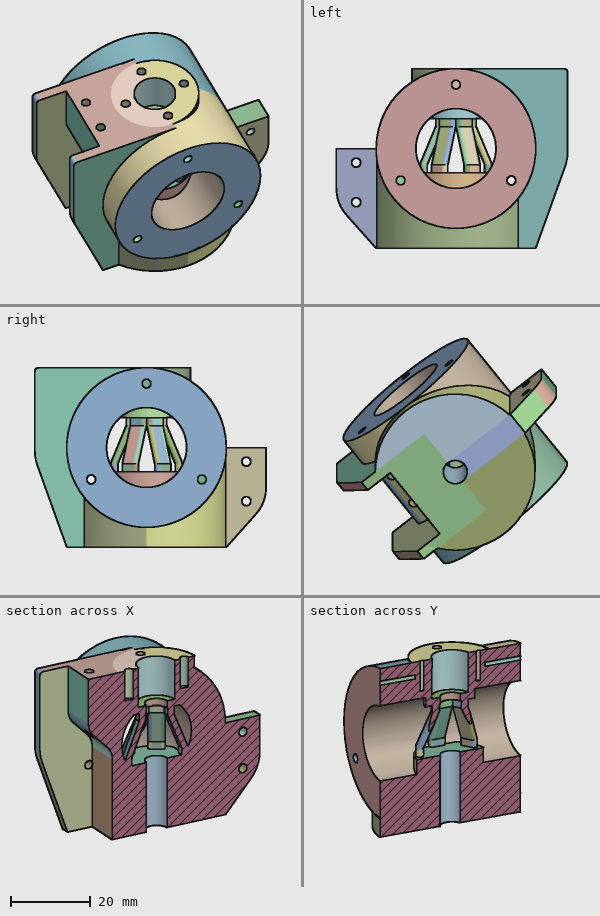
import cadquery as cq
import math

barrel_radius = 20.0
barrel_half_length = 20.0
cross_bore_diameter = 20.0
top_z = barrel_radius
bottom_z = -25.0
screw_hole_diameter = 2.2
blend_radius = 10.0

flange_radius = 11.0
flange_bore_diameter = 10.4
flange_screw_circle_radius = 8.0
flange_screw_depth = 8.0
flange_screw_count = 4

fork_outer_x = 12.5
fork_inner_x = 10.0
fork_front_y = -28.0
fork_corner_z = -2.7
fork_bottom_y = -20.0
fork_top_fillet = 1.0

gap_upper_y = -19.85
gap_lower_y = -12.9
gap_blend_radius = 5.0
gap_overshoot = 0.6
slope_y = -16.95
slope_z = 2.95
slope_screw_x = 4.45

tab_half_width = 3.0
tab_end_y = 30.0
tab_top_z = 0.0
tab_corner_z = -13.8
tab_screw_y = 25.0
tab_screw_heights = (-3.55, -13.45)

end_screw_circle_radius = 16.0
end_screw_depth = barrel_half_length - fork_inner_x
end_screw_angles = (90, 210, 330)

upper_plug_diameter = 14.2
upper_plug_z = 7.5
lower_plug_diameter = 19.2
lower_plug_z = -6.05
center_hole_diameter = 6.0
leg_count = 6
leg_thickness = 2.0
leg_length = 2.5 + leg_thickness
leg_straight_height = 2.0
leg_top_radius = 4.1
leg_bottom_radius = 8.1
plug_floor_thickness = 2.0


def vertical_cylinder(radius, z_min, z_max):
    return cq.Workplane("XY", origin=(0, 0, z_min)).circle(radius).extrude(z_max - z_min)


def make_barrels():
    horizontal = cq.Workplane("YZ").circle(barrel_radius).extrude(barrel_half_length, both=True)
    vertical = vertical_cylinder(barrel_radius, bottom_z, 0)
    flange = vertical_cylinder(flange_radius, 0, top_z)
    return horizontal.union(vertical).union(flange)


def make_fork_block():
    """Solid block with the side outline of the fork plates."""
    outline = [
        (0, top_z),
        (fork_front_y, top_z),
        (fork_front_y, fork_corner_z),
        (fork_bottom_y, bottom_z),
        (0, bottom_z),
    ]
    block = cq.Workplane("YZ").polyline(outline).close().extrude(fork_outer_x, both=True)
    front_top = cq.selectors.NearestToPointSelector((0, fork_front_y, top_z))
    front_lower = cq.selectors.NearestToPointSelector((0, fork_front_y, fork_corner_z))
    return block.edges(front_top).fillet(fork_top_fillet).edges(front_lower).fillet(blend_radius)


def make_fork_gap():
    """Space between the plates; its back wall steps inward over a blended 45 degree face."""
    beyond_y = fork_front_y - gap_overshoot
    upper_corner_z = slope_z + (slope_y - gap_upper_y)
    lower_corner_z = slope_z - (gap_lower_y - slope_y)
    outline = [
        (beyond_y, top_z),
        (gap_upper_y, top_z),
        (gap_upper_y, upper_corner_z),
        (gap_lower_y, lower_corner_z),
        (gap_lower_y, bottom_z),
        (beyond_y, bottom_z),
    ]
    gap = cq.Workplane("YZ").polyline(outline).close().extrude(fork_inner_x, both=True)
    for corner in ((0, gap_upper_y, upper_corner_z), (0, gap_lower_y, lower_corner_z)):
        gap = gap.edges(cq.selectors.NearestToPointSelector(corner)).fillet(gap_blend_radius)
    return gap


def make_tab():
    outline = [
        (0, tab_top_z),
        (tab_end_y, tab_top_z),
        (tab_end_y, tab_corner_z),
        (barrel_radius, bottom_z),
        (0, bottom_z),
    ]
    tab = cq.Workplane("YZ").polyline(outline).close().extrude(tab_half_width, both=True)
    corner = cq.selectors.NearestToPointSelector((0, tab_end_y, tab_corner_z))
    tab = tab.edges(corner).fillet(blend_radius)
    holes = (
        cq.Workplane("YZ")
        .pushPoints([(tab_screw_y, z) for z in tab_screw_heights])
        .circle(screw_hole_diameter / 2)
        .extrude(tab_half_width, both=True)
    )
    return tab.cut(holes)


def make_leg():
    """Leg on the +X side: straight foot, slanted middle and straight head of one slot section."""
    foot_top_z = lower_plug_z + leg_straight_height
    head_bottom_z = upper_plug_z - leg_straight_height

    def section(radius, z):
        return cq.Workplane("XY", origin=(radius, 0, z)).slot2D(leg_length, leg_thickness, 90)

    foot = section(leg_bottom_radius, lower_plug_z).extrude(leg_straight_height)
    head = section(leg_top_radius, head_bottom_z).extrude(leg_straight_height)
    middle = (
        section(leg_bottom_radius, foot_top_z)
        .workplane(offset=head_bottom_z - foot_top_z)
        .center(leg_top_radius - leg_bottom_radius, 0)
        .slot2D(leg_length, leg_thickness, 90)
        .loft(ruled=True)
    )
    return foot.union(middle).union(head)


def make_cross_bore():
    """Bore along X that leaves the two plugs standing."""
    bore = cq.Workplane("YZ").circle(cross_bore_diameter / 2).extrude(barrel_half_length, both=True)
    upper_plug = vertical_cylinder(upper_plug_diameter / 2, upper_plug_z, top_z)
    lower_plug = vertical_cylinder(lower_plug_diameter / 2, bottom_z, lower_plug_z)
    return bore.cut(upper_plug).cut(lower_plug)


def make_end_screw_holes():
    holes = cq.Workplane("YZ")
    for angle in end_screw_angles:
        y = end_screw_circle_radius * math.cos(math.radians(angle))
        z = end_screw_circle_radius * math.sin(math.radians(angle))
        for start_x in (-barrel_half_length, fork_inner_x):
            hole = (
                cq.Workplane("YZ", origin=(start_x, y, z))
                .circle(screw_hole_diameter / 2)
                .extrude(end_screw_depth)
            )
            holes = holes.add(hole)
    return holes.combine()


def make_top_screw_holes():
    radius = screw_hole_diameter / 2
    flange_holes = (
        cq.Workplane("XY", origin=(0, 0, top_z - flange_screw_depth))
        .polarArray(flange_screw_circle_radius, 0, 360, flange_screw_count)
        .circle(radius)
        .extrude(flange_screw_depth)
    )
    slope_holes = (
        cq.Workplane("XY")
        .pushPoints([(-slope_screw_x, slope_y), (slope_screw_x, slope_y)])
        .circle(radius)
        .extrude(top_z)
    )
    return flange_holes.union(slope_holes)


result = make_barrels().union(make_fork_block()).union(make_tab())
result = result.cut(make_fork_gap()).cut(make_cross_bore())

result = result.cut(vertical_cylinder(flange_bore_diameter / 2, upper_plug_z + plug_floor_thickness, top_z))
result = result.cut(vertical_cylinder(center_hole_diameter / 2, bottom_z, top_z))

result = result.cut(make_end_screw_holes()).cut(make_top_screw_holes())

first_leg_angle = 180 / leg_count
for index in range(leg_count):
    leg_angle = first_leg_angle + index * 360 / leg_count
    result = result.union(make_leg().rotate((0, 0, 0), (0, 0, 1), leg_angle))